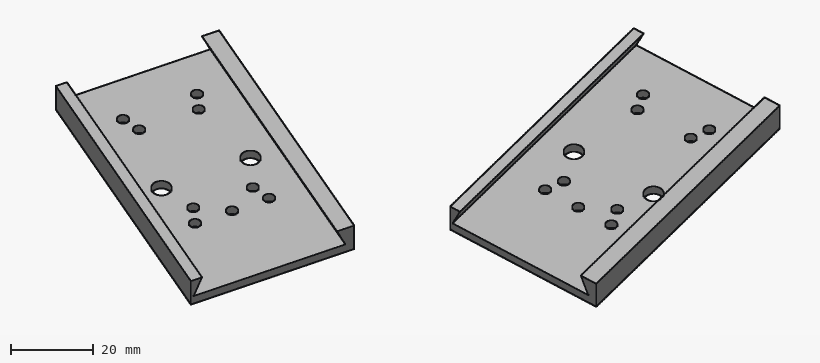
import cadquery as cq

length = 75.0
width = 44.0
height = 8.0

floor_thickness = 2.6
back_lip_width = 4.65
front_lip_width = 3.0
undercut = 2.25

large_diameter = 5.0
small_diameter = 3.0
large_hole_x = 0.5
large_hole_y = 12.0
outer_hole_y = 10.0
inner_hole_y = 8.0
left_outer_x = -25.0
left_inner_x = -20.0
right_inner_x = 10.0
right_outer_x = 15.0


def channel_body():
    """Plate with two undercut rails, extruded along X and centred on the origin in X and Y."""
    front = -width / 2
    back = width / 2
    profile = [
        (front, 0),
        (back, 0),
        (back, height),
        (back - back_lip_width, height),
        (back - back_lip_width + undercut, floor_thickness),
        (front + front_lip_width - undercut, floor_thickness),
        (front + front_lip_width, height),
        (front, height),
    ]
    return cq.Workplane("YZ").polyline(profile).close().extrude(length / 2, both=True)


def mirrored_pair(x, y):
    """Two points placed symmetrically about the X axis."""
    return [(x, y), (x, -y)]


def hole_cutters(points, diameter):
    """Cylinders that pass through the floor at the given points."""
    return cq.Workplane("XY").pushPoints(points).circle(diameter / 2).extrude(floor_thickness)


large_points = mirrored_pair(large_hole_x, large_hole_y)

small_points = [(right_outer_x, 0)]
for hole_x in (left_outer_x, right_outer_x):
    small_points += mirrored_pair(hole_x, outer_hole_y)
for hole_x in (left_inner_x, right_inner_x):
    small_points += mirrored_pair(hole_x, inner_hole_y)

result = (
    channel_body()
    .cut(hole_cutters(large_points, large_diameter))
    .cut(hole_cutters(small_points, small_diameter))
)